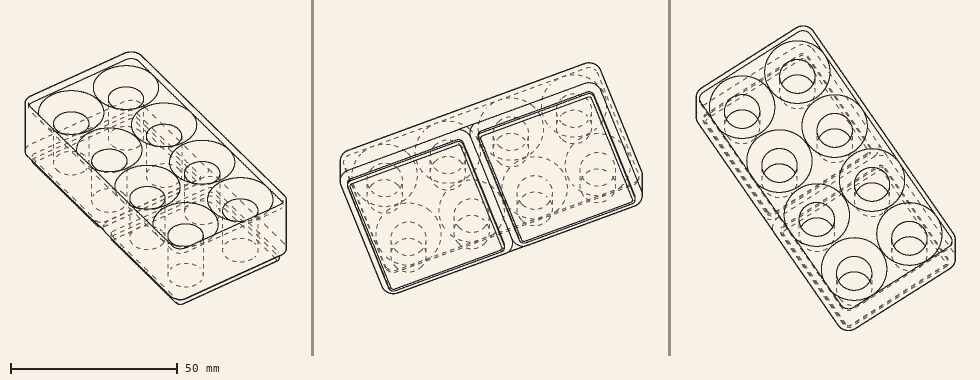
import cadquery as cq

grid_pitch = 42.0
foot_count = 2
body_clearance = 0.25
body_width = grid_pitch - 2 * body_clearance
body_length = foot_count * grid_pitch - 2 * body_clearance
body_corner_radius = 3.75
cell_corner_radius = body_corner_radius + body_clearance

foot_bottom_chamfer = 0.8
foot_straight = 1.8
foot_top_chamfer = 2.4
foot_height = foot_bottom_chamfer + foot_straight + foot_top_chamfer

total_height = 24.43
rim_wall = 1.0
rim_height = 2.0
rim_edge_fillet = 0.3
recess_floor_z = total_height - rim_height

pocket_columns = 4
pocket_rows = 2
pocket_pitch_x = 20.28
pocket_pitch_y = 19.87
pocket_bore_diameter = 10.62
pocket_funnel_depth = 4.5
pocket_mouth_diameter = pocket_bore_diameter + 2 * pocket_funnel_depth
pocket_floor_z = 2.0


def rounded_prism(length, width, corner_radius, bottom_z, top_z):
    """Upright prism with a rounded rectangular outline, centred on the Z axis."""
    return (
        cq.Workplane("XY", origin=(0, 0, bottom_z))
        .rect(length, width)
        .extrude(top_z - bottom_z)
        .edges("|Z")
        .fillet(corner_radius)
    )


def rounded_outline(side, corner_radius, z):
    """Square outline with rounded corners at height z."""
    outline = cq.Sketch().rect(side, side).vertices().fillet(corner_radius)
    return outline.moved(cq.Location(cq.Vector(0, 0, z)))


def make_foot():
    """Foot that flares from its sole through a straight waist to the full grid cell."""
    waist_width = grid_pitch - 2 * foot_top_chamfer
    waist_radius = cell_corner_radius - foot_top_chamfer
    flare_z = foot_bottom_chamfer + foot_straight
    waist = rounded_prism(waist_width, waist_width, waist_radius, 0, flare_z)
    waist = waist.faces("<Z").chamfer(foot_bottom_chamfer)
    flare_bottom = rounded_outline(waist_width, waist_radius, flare_z)
    flare_top = rounded_outline(grid_pitch, cell_corner_radius, foot_height)
    flare = cq.Workplane().placeSketch(flare_bottom, flare_top).loft(ruled=True)
    return waist.union(flare)


def make_feet():
    """Row of feet trimmed to the outline of the body."""
    outline = rounded_prism(body_length, body_width, body_corner_radius, 0, foot_height)
    row = cq.Workplane()
    foot = make_foot()
    for index in range(foot_count):
        foot_x = (index - (foot_count - 1) / 2) * grid_pitch
        row = row.union(foot.translate((foot_x, 0, 0)))
    return row.intersect(outline)


def make_body():
    """Block with a shallow recess that leaves a thin rim with rounded edges."""
    block = rounded_prism(body_length, body_width, body_corner_radius, foot_height, total_height)
    recess = rounded_prism(
        body_length - 2 * rim_wall,
        body_width - 2 * rim_wall,
        body_corner_radius - rim_wall,
        recess_floor_z,
        total_height,
    )
    return block.cut(recess).faces(">Z").fillet(rim_edge_fillet)


def make_pocket():
    """Cutter for one pocket: a 45 degree conical mouth above a straight bore."""
    mouth_radius = pocket_mouth_diameter / 2
    bore_radius = pocket_bore_diameter / 2
    funnel_bottom_z = recess_floor_z - pocket_funnel_depth
    return (
        cq.Workplane("XZ")
        .moveTo(0, pocket_floor_z)
        .lineTo(bore_radius, pocket_floor_z)
        .lineTo(bore_radius, funnel_bottom_z)
        .lineTo(mouth_radius, recess_floor_z)
        .lineTo(0, recess_floor_z)
        .close()
        .revolve(360, (0, 0), (0, 1))
    )


def cut_pockets(body):
    pocket = make_pocket()
    for column in range(pocket_columns):
        pocket_x = (column - (pocket_columns - 1) / 2) * pocket_pitch_x
        for row in range(pocket_rows):
            pocket_y = (row - (pocket_rows - 1) / 2) * pocket_pitch_y
            body = body.cut(pocket.translate((pocket_x, pocket_y, 0)))
    return body


result = cut_pockets(make_body().union(make_feet()))